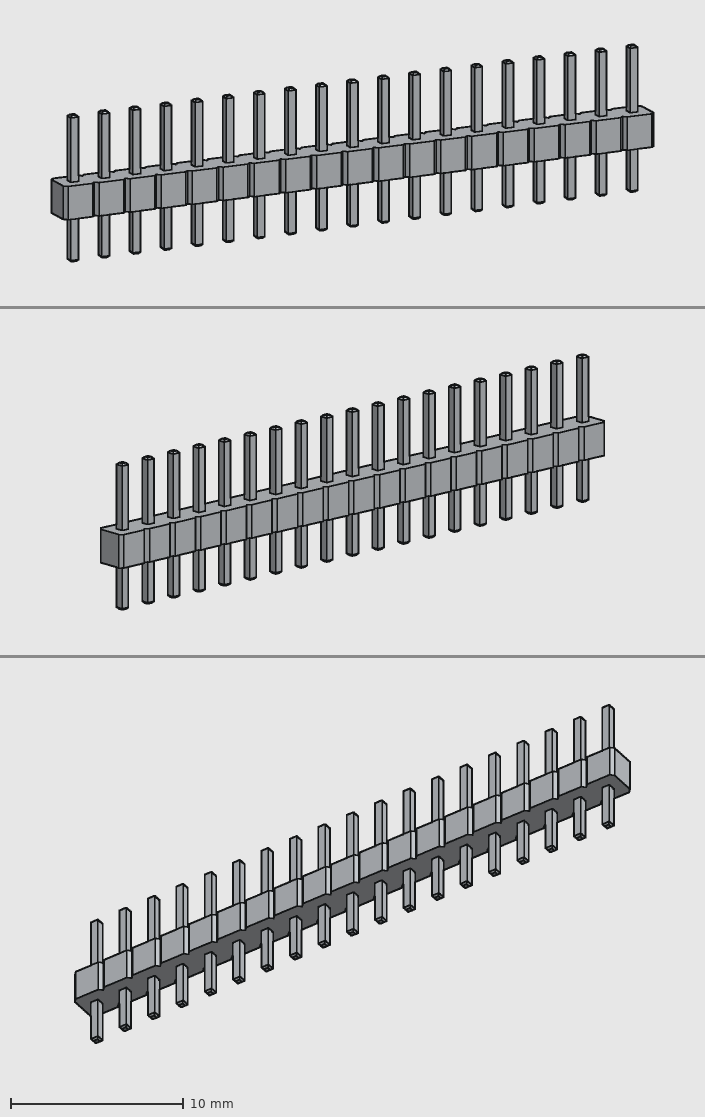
import cadquery as cq

row_length = 38.0
pin_count = 19
pitch = row_length / pin_count

body_width = 2.0
body_height = 2.0
corner_chamfer = 0.21

pin_width = 0.5
pin_above_body = 4.0
pin_below_body = 2.8
tip_chamfer = 0.1

pin_centres = [(0, (i - (pin_count - 1) / 2) * pitch) for i in range(pin_count)]


def make_body():
    """Bar with chamfered end corners and a V notch on both sides between neighbouring pins."""
    bar = cq.Workplane("XY").box(body_width, row_length, body_height, centered=(True, True, False))

    cutter_side = corner_chamfer * 2 ** 0.5
    cell_edges = [
        (side * body_width / 2, i * pitch - row_length / 2)
        for side in (-1, 1)
        for i in range(pin_count + 1)
    ]
    cutters = (
        cq.Workplane("XY")
        .pushPoints(cell_edges)
        .eachpoint(
            cq.Workplane("XY")
            .rect(cutter_side, cutter_side)
            .extrude(body_height)
            .rotate((0, 0, 0), (0, 0, 1), 45)
            .val()
        )
    )
    return bar.cut(cutters)


def make_pin():
    """Square pin centred on the Z axis, bevelled on all four sides at both tips."""
    pin_length = pin_below_body + body_height + pin_above_body
    return (
        cq.Workplane("XY")
        .workplane(offset=-pin_below_body)
        .rect(pin_width, pin_width)
        .extrude(pin_length)
        .faces("<Z or >Z")
        .chamfer(tip_chamfer)
    )


pins = cq.Workplane("XY").pushPoints(pin_centres).eachpoint(make_pin().val())
result = make_body().union(pins)